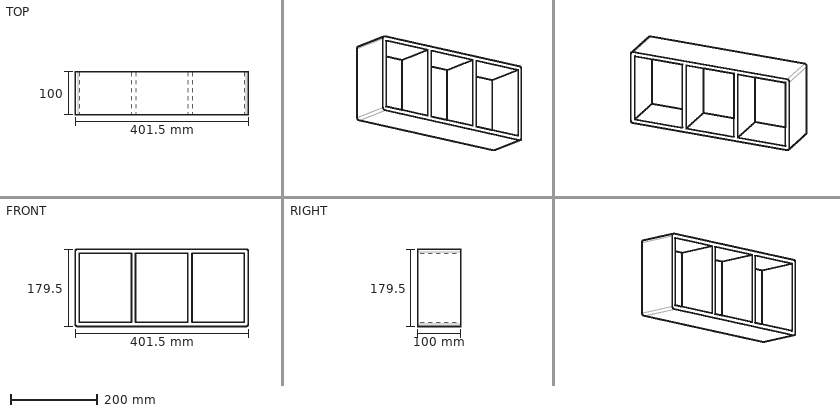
import cadquery as cq

WIDTH = 401.5
DEPTH = 100.0
HEIGHT = 179.5

WALL = 10.0
CORNER_RADIUS = 6.0
BAY_COUNT = 3

BAY_WIDTH = (WIDTH - (BAY_COUNT + 1) * WALL) / BAY_COUNT
BAY_HEIGHT = HEIGHT - 2 * WALL
BAY_PITCH = BAY_WIDTH + WALL


def outer_block():
    """Solid block centred on the origin, rounded along its Y edges."""
    return cq.Workplane("XY").box(WIDTH, DEPTH, HEIGHT).edges("|Y").fillet(CORNER_RADIUS)


def bay_openings():
    """Row of equal rectangular bays running through the full depth."""
    return (
        cq.Workplane("XZ")
        .rarray(BAY_PITCH, 1, BAY_COUNT, 1)
        .rect(BAY_WIDTH, BAY_HEIGHT)
        .extrude(DEPTH / 2, both=True)
    )


result = outer_block().cut(bay_openings())